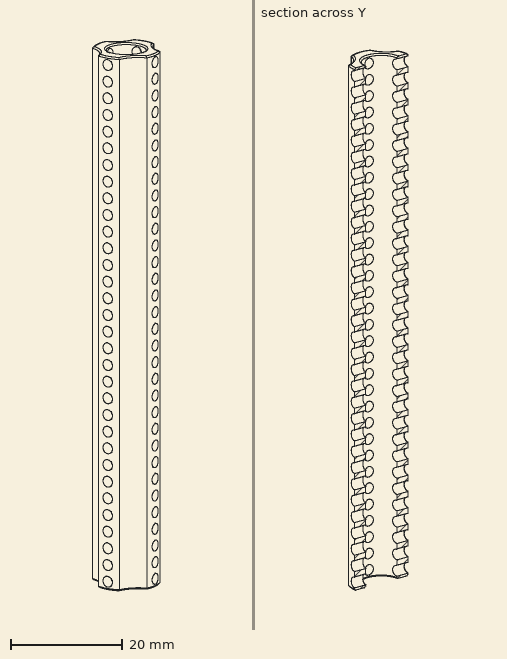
import cadquery as cq
import math

length = 100.0
outer_diameter = 12.5
bore_diameter = 7.2
lobe_width = 4.5
groove_floor_radius = 5.0
hole_diameter = 2.0
hole_count = 32
end_chamfer = 0.3

outer_radius = outer_diameter / 2
lobe_half_width = lobe_width / 2
lobe_corner_reach = math.sqrt(outer_radius**2 - lobe_half_width**2)
groove_floor = groove_floor_radius * math.sqrt(0.5)
hole_pitch = length / hole_count


def quarter_turn(point, turns):
    """Rotate a point of the cross-section by 90 degree steps about the tube axis."""
    x, y = point
    for _ in range(turns):
        x, y = -y, x
    return (x, y)


def tube_body():
    """Four rounded lobes joined by four concave grooves."""
    outline = cq.Workplane("XY").moveTo(lobe_corner_reach, -lobe_half_width)
    for turns in range(4):
        lobe_crest = quarter_turn((outer_radius, 0), turns)
        lobe_end = quarter_turn((lobe_corner_reach, lobe_half_width), turns)
        groove_middle = quarter_turn((groove_floor, groove_floor), turns)
        next_lobe_start = quarter_turn((lobe_half_width, lobe_corner_reach), turns)
        outline = outline.threePointArc(lobe_crest, lobe_end)
        outline = outline.threePointArc(groove_middle, next_lobe_start)
    return outline.close().extrude(length)


def bore():
    """Straight bore through the whole tube."""
    return cq.Workplane("XY").circle(bore_diameter / 2).extrude(length)


def cross_holes(plane):
    """A row of holes along the tube, each passing through two opposite lobes."""
    centres = [(0, (index + 0.5) * hole_pitch) for index in range(hole_count)]
    return (
        cq.Workplane(plane)
        .pushPoints(centres)
        .circle(hole_diameter / 2)
        .extrude(outer_radius, both=True)
    )


result = tube_body().cut(bore())
result = result.faces("<Z or >Z").edges().chamfer(end_chamfer)
for plane in ("XZ", "YZ"):
    result = result.cut(cross_holes(plane))